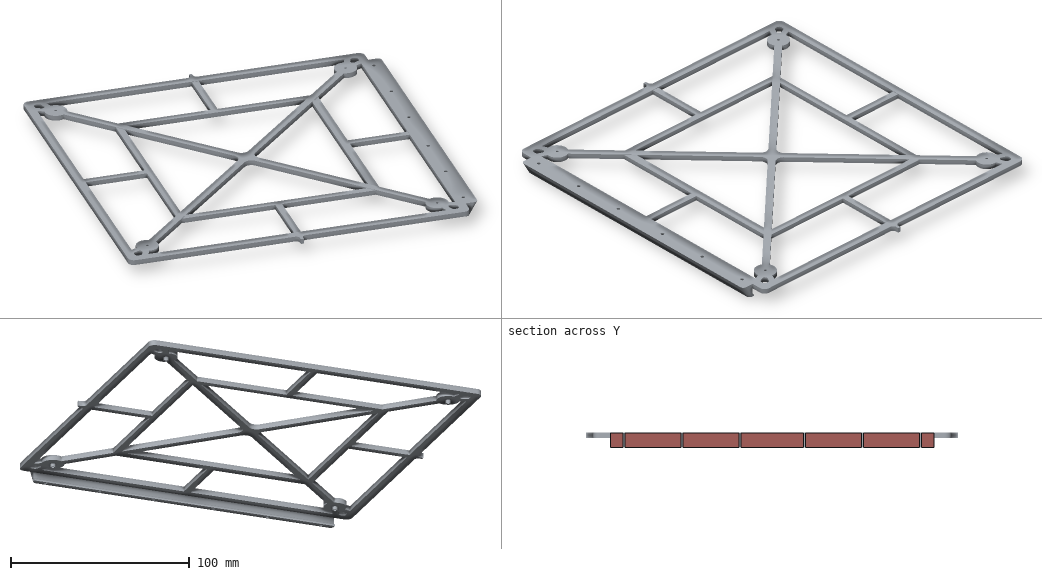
import cadquery as cq
import math

frame_side = 200.0
frame_width = 5.0
frame_thickness = 3.0
frame_corner_radius = 3.5
frame_half = frame_side / 2
opening_half = frame_half - frame_width

diagonal_width = 4.4
hub_fillet = 4.5

bar_width = 4.0
bar_recess = 0.2
ring_half_x = 60.0
ring_back_y = 60.0
ring_front_y = -59.0
ring_back_width = 5.0

pad_offset = 85.0
pad_radius = 6.5
pad_hole_diameter = 1.48
pin_diameter = 2.8
pin_length = 2.0
arm_half_angle = 21.5
arm_width = 3.5
corner_hole_fillet = 1.5

tab_overhang = 3.885
tab_width = 1.7
tab_fillet = 2.3

flange_length = 181.0
flange_overhang = 7.37
flange_depth = 8.3
flange_slope_angle = 60.0
flange_end_fillet = 2.0
lip_reach = 1.0
lip_height = 0.9
lip_taper_height = 0.9
flange_hole_diameter = 2.0
flange_hole_y = 101.0
flange_hole_offsets = (18.0, 50.5, 83.0)


def block(x_range, y_range, z_range):
    """Axis-aligned block given by its (low, high) limits along each axis."""
    (x0, x1), (y0, y1), (z0, z1) = x_range, y_range, z_range
    return cq.Workplane("XY").box(x1 - x0, y1 - y0, z1 - z0, centered=False).translate((x0, y0, z0))


def span(half):
    """Symmetric (low, high) limits about zero."""
    return (-half, half)


frame_z = (-frame_thickness, 0)
opening = block(span(opening_half), span(opening_half), frame_z)


def make_frame():
    plate = block(span(frame_half), span(frame_half), frame_z)
    return plate.edges("|Z").fillet(frame_corner_radius).cut(opening)


def make_tab(side):
    """Thin tab on the -X (side = -1) or +X (side = 1) face, flared where it meets the frame."""
    root = side * frame_half
    flare = side * (frame_half + tab_fillet)
    tip = side * (frame_half + tab_overhang)
    half = tab_width / 2
    wide = half + tab_fillet
    bulge = tab_fillet * math.sqrt(0.5)
    mid_x = flare - side * bulge
    mid_y = wide - bulge
    anchor = side * (frame_half - frame_width / 2)
    return (
        cq.Workplane("XY")
        .moveTo(anchor, -wide)
        .lineTo(root, -wide)
        .threePointArc((mid_x, -mid_y), (flare, -half))
        .lineTo(tip, -half)
        .lineTo(tip, half)
        .lineTo(flare, half)
        .threePointArc((mid_x, mid_y), (root, wide))
        .lineTo(anchor, wide)
        .close()
        .extrude(-frame_thickness)
    )


def make_diagonals():
    reach = span(math.sqrt(2) * pad_offset)
    half = span(diagonal_width / 2)
    cross = block(reach, half, frame_z).union(block(half, reach, frame_z))
    near = diagonal_width
    crotches = cq.selectors.BoxSelector((-near, -near, -near), (near, near, near))
    return cross.edges("|Z").edges(crotches).fillet(hub_fillet).rotate((0, 0, 0), (0, 0, 1), 45)


def make_ring_and_spokes():
    z_range = (-frame_thickness, -bar_recess)
    half = span(bar_width / 2)
    reach = span(opening_half)
    window_y = (ring_front_y + bar_width, ring_back_y - ring_back_width)
    window = block(span(ring_half_x - bar_width), window_y, z_range)
    spokes = block(reach, half, z_range).union(block(half, reach, z_range))
    ring = block(span(ring_half_x), (ring_front_y, ring_back_y), z_range)
    return ring.union(spokes).cut(window)


def make_corner():
    """Pad, pin and two-armed gusset of the (+X, +Y) corner."""
    pad = cq.Workplane("XY").center(pad_offset, pad_offset).circle(pad_radius).extrude(-frame_thickness)
    pin = (
        cq.Workplane("XY")
        .workplane(offset=-frame_thickness)
        .center(pad_offset, pad_offset)
        .circle(pin_diameter / 2)
        .extrude(-pin_length)
    )
    arm_angle = math.radians(45 - arm_half_angle)
    half_rise = arm_width / 2 / math.cos(arm_angle)
    arm_end = pad_offset + (opening_half - pad_offset) * math.tan(arm_angle)
    outer_rise = arm_end - half_rise
    inner_rise = arm_end + half_rise
    fork = pad_offset + half_rise / (1 - math.tan(arm_angle))

    wedge_outline = [
        (pad_offset, pad_offset - half_rise),
        (opening_half, outer_rise),
        (opening_half, opening_half),
        (outer_rise, opening_half),
        (pad_offset - half_rise, pad_offset),
    ]
    hole_outline = [
        (fork, fork),
        (opening_half, inner_rise),
        (opening_half, opening_half),
        (inner_rise, opening_half),
    ]
    wedge = cq.Workplane("XY").polyline(wedge_outline).close().extrude(-frame_thickness)
    hole = cq.Workplane("XY").polyline(hole_outline).close().extrude(-frame_thickness)
    hole = hole.edges("|Z").fillet(corner_hole_fillet)
    return pad.union(wedge).cut(hole).union(pin)


def make_flange():
    tip = frame_half + flange_overhang
    run = flange_depth / math.tan(math.radians(flange_slope_angle))
    lip_y = frame_half - lip_reach
    lip_top = lip_height - flange_depth
    profile = [
        (tip, 0),
        (tip - run, -flange_depth),
        (lip_y, -flange_depth),
        (lip_y, lip_top),
        (frame_half, lip_top + lip_taper_height),
        (frame_half, -frame_thickness),
        (opening_half, -frame_thickness),
        (opening_half, 0),
    ]
    half = flange_length / 2
    flange = cq.Workplane("YZ").workplane(offset=-half).polyline(profile).close().extrude(flange_length)
    for end_x in span(half):
        slope_middle = (end_x, tip - run / 2, -flange_depth / 2)
        end_edge = cq.selectors.NearestToPointSelector(slope_middle)
        flange = flange.edges(end_edge).fillet(flange_end_fillet)
    return flange


def drill(points, diameter):
    """Vertical through cutters at the given points."""
    depth = 2 * flange_depth
    return cq.Workplane("XY").pushPoints(points).circle(diameter / 2).extrude(depth, both=True)


result = make_frame().union(make_ring_and_spokes()).union(make_diagonals()).union(make_flange())
for side in (-1, 1):
    result = result.union(make_tab(side))
for quarter in range(4):
    result = result.union(make_corner().rotate((0, 0, 0), (0, 0, 1), 90 * quarter))

pad_points = [(x, y) for x in span(pad_offset) for y in span(pad_offset)]
flange_points = [(x, flange_hole_y) for offset in flange_hole_offsets for x in span(offset)]
result = result.cut(drill(pad_points, pad_hole_diameter))
result = result.cut(drill(flange_points, flange_hole_diameter))